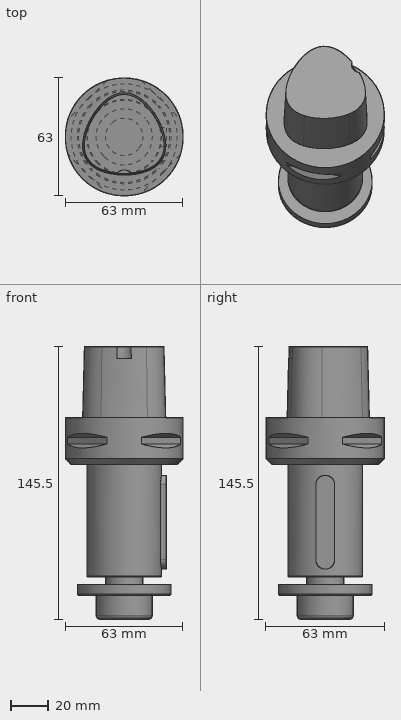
import cadquery as cq
import math

total_height = 145.5
shank_height = 38.0
flange_height = 25.0
body_length = 60.0
neck_length = 4.0
collar_height = 6.0
flange_top = total_height - shank_height
flange_bottom = flange_top - flange_height
body_bottom = flange_bottom - body_length
collar_top = body_bottom - neck_length
collar_bottom = collar_top - collar_height

flange_diameter = 63.0
body_diameter = 40.0
neck_diameter = 20.0
collar_diameter = 50.0
head_diameter = 30.0
flange_chamfer = 3.2
body_chamfer = 0.5
collar_chamfer = 0.7
head_fillet = 2.0

shank_base_radius = 22.0
shank_taper = 1 / 20
shank_top_radius = shank_base_radius - shank_height * shank_taper / 2
lobe_offset = 1.6
face_count = 6

notch_radius = 5.0
notch_depth = 6.3
notch_inner_distance = 17.6

groove_count = 4
groove_floor_distance = 27.8
groove_floor_height = 3.5
groove_flank_angle = 30.0
groove_drop = 12.2

key_width = 10.0
key_length = 50.0
key_top_drop = 5.7
key_outer_distance = 22.5


def disc(diameter, bottom, top):
    return cq.Workplane("XY").workplane(offset=bottom).circle(diameter / 2).extrude(top - bottom)


def lobed_point(radius, angle):
    """Point of a trochoid whose first lobe points along +Y."""
    x = radius * math.sin(angle) - lobe_offset * math.sin(2 * angle)
    y = radius * math.cos(angle) + lobe_offset * math.cos(2 * angle)
    return x, y


def lobed_outline(workplane, radius):
    """Closed trochoid made of three lobe curves and three side curves."""
    step = math.tau / face_count
    for face in range(face_count):
        start = (face - 0.5) * step
        workplane = workplane.parametricCurve(
            lambda t, start=start: (*lobed_point(radius, start + t * step), 0), N=20, makeWire=False
        )
    return workplane.wire()


def make_shank():
    base = lobed_outline(cq.Workplane("XY").workplane(offset=flange_top), shank_base_radius)
    top = base.workplane(offset=shank_height)
    shank = lobed_outline(top, shank_top_radius).loft(ruled=True)
    notch = disc(2 * notch_radius, total_height - notch_depth, total_height)
    return shank.cut(notch.translate((0, -notch_inner_distance - notch_radius, 0)))


def make_groove():
    """Trapezoidal groove that widens outward, running across the +X side of the flange."""
    outer_distance = flange_diameter / 2 + 1.5
    depth = outer_distance - groove_floor_distance
    floor_half = groove_floor_height / 2
    mouth_half = floor_half + depth * math.tan(math.radians(groove_flank_angle))
    profile = [
        (groove_floor_distance, -floor_half),
        (outer_distance, -mouth_half),
        (outer_distance, mouth_half),
        (groove_floor_distance, floor_half),
    ]
    groove = cq.Workplane("XZ").polyline(profile).close().extrude(flange_diameter / 2, both=True)
    return groove.translate((0, 0, flange_top - groove_drop))


def make_flange():
    flange = disc(flange_diameter, flange_bottom, flange_top)
    flange = flange.faces("<Z").edges().chamfer(flange_chamfer)
    groove = make_groove()
    pitch = 360 / groove_count
    for index in range(groove_count):
        angle = (index + 0.5) * pitch
        flange = flange.cut(groove.rotate((0, 0, 0), (0, 0, 1), angle))
    return flange


def make_key():
    """Round-ended key, starting on the shaft axis so that it joins the body."""
    key_center = flange_bottom - key_top_drop - key_length / 2
    key = cq.Workplane("YZ").center(0, key_center)
    return key.slot2D(key_length, key_width, 90).extrude(key_outer_distance)


body = disc(body_diameter, body_bottom, flange_bottom).faces("<Z").edges().chamfer(body_chamfer)
neck = disc(neck_diameter, collar_top, body_bottom)
collar = disc(collar_diameter, collar_bottom, collar_top).faces("<Z").edges().chamfer(collar_chamfer)
head = disc(head_diameter, 0, collar_bottom).faces("<Z").edges().fillet(head_fillet)

result = make_shank()
for section in (make_flange(), body, make_key(), neck, collar, head):
    result = result.union(section)